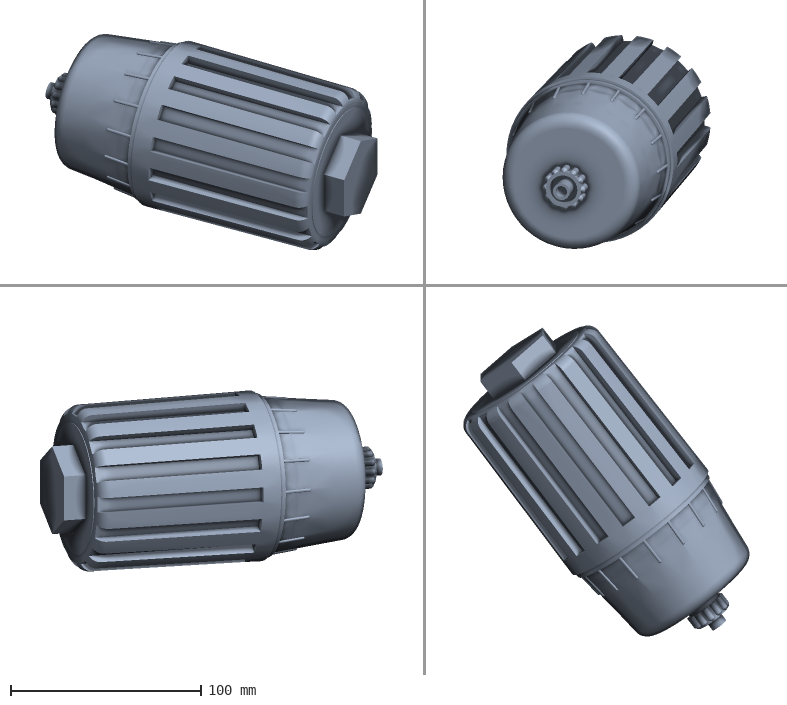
import cadquery as cq
import math


GEAR_FRONT_X = 5.0
GEAR_BACK_X = 13.0
NOSE_X = 18.0
LIP_X = 66.0
GRIP_X = 69.0
FLUTE_START_X = 78.8
GRIP_END_X = 168.95
END_PLATE_X = 169.3
TOTAL_LENGTH = 181.0

TUBE_DIAMETER = 9.0
TUBE_BORE_DIAMETER = 6.0
TUBE_BORE_DEPTH = 10.0
GEAR_ROOT_DIAMETER = 19.0
GEAR_RECESS_DIAMETER = 15.0
GEAR_RECESS_DEPTH = 7.0
TOOTH_COUNT = 12
TOOTH_DIAMETER = 3.8
TOOTH_TIP_RADIUS = 11.4
TOOTH_END_CHAMFER = 1.5
COLLAR_DIAMETER = 18.0

NOSE_FACE_RADIUS = 30.0
NOSE_ROUND_RADIUS = 7.0
NOSE_BACK_RADIUS = 41.8
LIP_DIAMETER = 87.0
MARK_COUNT = 16
MARK_LENGTH = 15.0
MARK_WIDTH = 1.7
MARK_HEIGHT = 0.9
MARK_EDGE_ROUND = 0.7

GRIP_DIAMETER = 90.0
GRIP_DRAFT = math.radians(0.6)
GRIP_ROUND_RADIUS = 6.0
FLUTE_COUNT = 16
FLUTE_WIDTH = 8.2
FLUTE_FLOOR_RADIUS = 39.5

END_PLATE_DIAMETER = 70.0
HEX_ACROSS_FLATS = 41.0


def cylinder(start_x, end_x, diameter):
    """Cylinder on the X axis between two stations."""
    return cq.Workplane("YZ", origin=(start_x, 0, 0)).circle(diameter / 2).extrude(end_x - start_x)


def around_axis(shape, count):
    """List of copies of a shape, evenly spaced about the X axis."""
    step = 360.0 / count
    return [shape.rotate((0, 0, 0), (1, 0, 0), i * step) for i in range(count)]


def nose_round():
    """Taper angle of the nose and the centre of its front rounding (x, radius)."""
    center_x = NOSE_X + NOSE_ROUND_RADIUS
    run = LIP_X - center_x
    rise = NOSE_BACK_RADIUS - NOSE_FACE_RADIUS
    angle = math.atan2(rise, run) - math.asin(NOSE_ROUND_RADIUS / math.hypot(run, rise))
    return angle, center_x, NOSE_FACE_RADIUS


def on_arc(center_x, center_r, radius, angle):
    """Point on an arc, with the angle measured from the +X axis."""
    return center_x + radius * math.cos(angle), center_r + radius * math.sin(angle)


def make_body():
    """Turned nose, lip and grip."""
    taper, nose_cx, nose_cr = nose_round()
    nose_tangent = math.pi / 2 + taper
    nose_middle = (math.pi + nose_tangent) / 2

    grip_radius = GRIP_DIAMETER / 2
    grip_cx = GRIP_END_X - GRIP_ROUND_RADIUS
    drop = (grip_cx - GRIP_X) * math.tan(GRIP_DRAFT)
    grip_cr = grip_radius - drop - GRIP_ROUND_RADIUS / math.cos(GRIP_DRAFT)
    grip_tangent = math.pi / 2 - GRIP_DRAFT

    return (
        cq.Workplane("XY")
        .moveTo(NOSE_X, 0)
        .lineTo(NOSE_X, nose_cr)
        .threePointArc(
            on_arc(nose_cx, nose_cr, NOSE_ROUND_RADIUS, nose_middle),
            on_arc(nose_cx, nose_cr, NOSE_ROUND_RADIUS, nose_tangent),
        )
        .lineTo(LIP_X, NOSE_BACK_RADIUS)
        .lineTo(LIP_X, LIP_DIAMETER / 2)
        .lineTo(GRIP_X, LIP_DIAMETER / 2)
        .lineTo(GRIP_X, grip_radius)
        .lineTo(*on_arc(grip_cx, grip_cr, GRIP_ROUND_RADIUS, grip_tangent))
        .threePointArc(
            on_arc(grip_cx, grip_cr, GRIP_ROUND_RADIUS, grip_tangent / 2),
            (GRIP_END_X, grip_cr),
        )
        .lineTo(GRIP_END_X, 0)
        .close()
        .revolve(360, (0, 0, 0), (1, 0, 0))
    )


def cut_flutes(body):
    """Flat-bottomed flutes along the grip, open at its end."""
    depth = GRIP_DIAMETER / 2 - FLUTE_FLOOR_RADIUS
    length = GRIP_END_X - FLUTE_START_X
    flute = cq.Workplane("XY").box(length, FLUTE_WIDTH, depth, centered=(False, True, False))
    flute = flute.translate((FLUTE_START_X, 0, FLUTE_FLOOR_RADIUS))
    for cutter in around_axis(flute, FLUTE_COUNT):
        body = body.cut(cutter)
    return body


def add_marks(body):
    """Raised marks on the nose taper, running up to the lip."""
    slope = math.tan(nose_round()[0])
    front_x = LIP_X - MARK_LENGTH
    front_top = NOSE_BACK_RADIUS + MARK_HEIGHT - MARK_LENGTH * slope
    base = front_top - 2 * MARK_HEIGHT
    mark = (
        cq.Workplane("XZ")
        .polyline([
            (front_x, base),
            (front_x, front_top),
            (LIP_X, NOSE_BACK_RADIUS + MARK_HEIGHT),
            (LIP_X, base),
        ])
        .close()
        .extrude(MARK_WIDTH / 2, both=True)
    )
    mark = mark.faces("<X").edges("|Z").fillet(MARK_EDGE_ROUND)
    mark = mark.faces(">Z").edges("not >X").fillet(MARK_EDGE_ROUND)
    for mark_copy in around_axis(mark, MARK_COUNT):
        body = body.union(mark_copy)
    return body


def make_gear():
    """Gear with round teeth, chamfered at the front."""
    gear = cylinder(GEAR_FRONT_X, GEAR_BACK_X, GEAR_ROOT_DIAMETER)
    center_radius = TOOTH_TIP_RADIUS - TOOTH_DIAMETER / 2
    tooth = cylinder(GEAR_FRONT_X, GEAR_BACK_X, TOOTH_DIAMETER)
    tooth = tooth.faces("<X").edges().chamfer(TOOTH_END_CHAMFER).translate((0, 0, center_radius))
    for tooth_copy in around_axis(tooth, TOOTH_COUNT):
        gear = gear.union(tooth_copy)
    return gear.cut(cylinder(GEAR_FRONT_X, GEAR_FRONT_X + GEAR_RECESS_DEPTH, GEAR_RECESS_DIAMETER))


def make_hex():
    """Hexagonal end with two corners at Y = 0, above and below the X axis."""
    corner_diameter = HEX_ACROSS_FLATS / math.cos(math.pi / 6)
    return (
        cq.Workplane("YZ", origin=(END_PLATE_X, 0, 0))
        .transformed(rotate=(0, 0, 90))
        .polygon(6, corner_diameter)
        .extrude(TOTAL_LENGTH - END_PLATE_X)
    )


body = add_marks(cut_flutes(make_body()))
collar = cylinder(GEAR_BACK_X, NOSE_X, COLLAR_DIAMETER)
end_plate = cylinder(GRIP_END_X, END_PLATE_X, END_PLATE_DIAMETER)
tube = cylinder(0, GEAR_BACK_X, TUBE_DIAMETER)
tube_bore = cylinder(0, TUBE_BORE_DEPTH, TUBE_BORE_DIAMETER)

result = body.union(collar).union(make_gear()).union(tube).union(end_plate).union(make_hex()).cut(tube_bore)